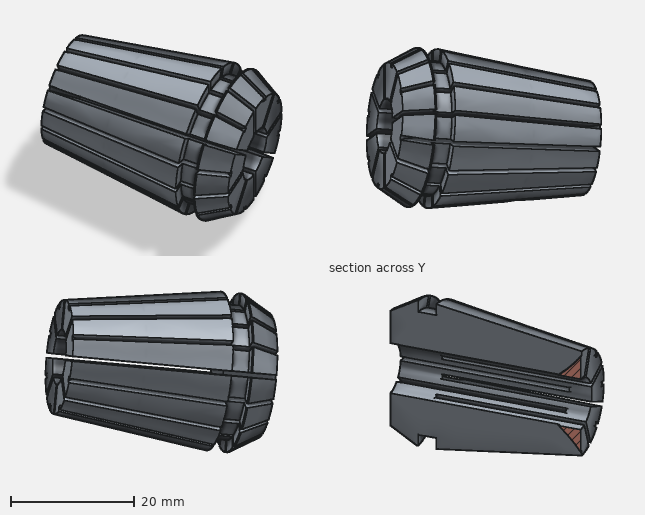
import cadquery as cq
import math

LENGTH = 34.0
MAX_RADIUS = 13.0
BORE_RADIUS = 4.5

TAPER_ANGLE = 8.0
TAPER_LENGTH = 25.87

GROOVE_RADIUS = 11.0
GROOVE_END = 29.07
LAND_WIDTH = 0.25
NOSE_ANGLE = 30.0

SLITS_PER_END = 8
SLIT_WIDTH = 0.78

REAR_SAW_RADIUS = 23.8
REAR_SAW_OFFSET = 23.05
FRONT_FLOOR_RADIUS = 8.65

FRONT_SAW_RADIUS = 40.0
FRONT_SAW_OFFSET = 39.7
REAR_FLOOR_RADIUS = 9.75


def make_body():
    """Revolve the wall section about the X axis."""
    front_radius = MAX_RADIUS - TAPER_LENGTH * math.tan(math.radians(TAPER_ANGLE))
    land_end = GROOVE_END + LAND_WIDTH
    rear_radius = MAX_RADIUS - (LENGTH - land_end) * math.tan(math.radians(NOSE_ANGLE))
    section = [
        (0, BORE_RADIUS),
        (0, front_radius),
        (TAPER_LENGTH, MAX_RADIUS),
        (TAPER_LENGTH, GROOVE_RADIUS),
        (GROOVE_END, GROOVE_RADIUS),
        (GROOVE_END, MAX_RADIUS),
        (land_end, MAX_RADIUS),
        (LENGTH, rear_radius),
        (LENGTH, BORE_RADIUS),
    ]
    return cq.Workplane("XY").polyline(section).close().revolve(360, (0, 0, 0), (1, 0, 0))


def make_slit_cutter(saw_radius, saw_offset, floor_radius):
    """Slab along +Y that stays shallow at x = 0 and reaches the bore along the saw's arc."""
    saw_x = math.sqrt(saw_radius**2 - (saw_offset - floor_radius) ** 2)
    saw_bottom = saw_offset - saw_radius
    diagonal = saw_radius * math.sqrt(0.5)
    open_end = LENGTH + saw_radius
    return (
        cq.Workplane("XY")
        .moveTo(saw_x - saw_radius, saw_offset)
        .threePointArc((saw_x - diagonal, saw_offset - diagonal), (saw_x, saw_bottom))
        .lineTo(open_end, saw_bottom)
        .lineTo(open_end, saw_offset)
        .close()
        .extrude(SLIT_WIDTH / 2, both=True)
    )


def cut_slits(body, cutter, start_angle):
    """Cut one ring of equally spaced slits."""
    pitch = 360 / SLITS_PER_END
    for index in range(SLITS_PER_END):
        body = body.cut(cutter.rotate((0, 0, 0), (1, 0, 0), start_angle + index * pitch))
    return body


rear_opening_cutter = make_slit_cutter(REAR_SAW_RADIUS, REAR_SAW_OFFSET, FRONT_FLOOR_RADIUS)
front_opening_cutter = (
    make_slit_cutter(FRONT_SAW_RADIUS, FRONT_SAW_OFFSET, REAR_FLOOR_RADIUS)
    .mirror("YZ")
    .translate((LENGTH, 0, 0))
)

result = make_body()
result = cut_slits(result, rear_opening_cutter, 0)
result = cut_slits(result, front_opening_cutter, 180 / SLITS_PER_END)